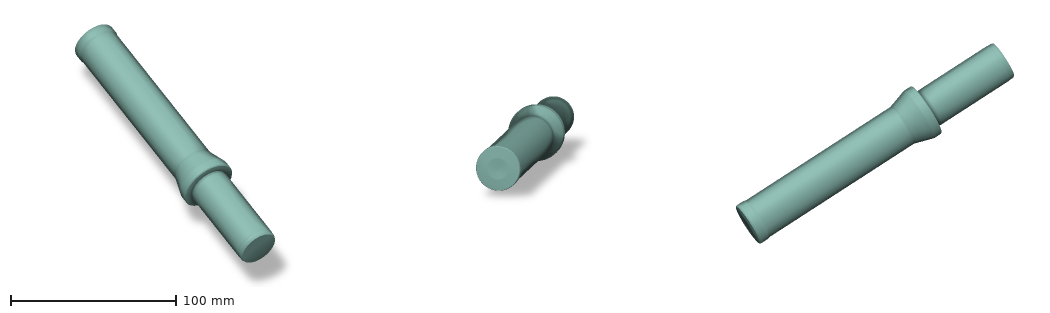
import cadquery as cq

TOTAL_LENGTH = 186.0
HEAD_TAPER_START = 6.0
HEAD_LENGTH = 7.5
FLARE_BLEND_START = 112.2
FLARE_START = 113.3
COLLAR_START = 124.6
COLLAR_END = 130.0
GROOVE_END = 130.8
SHANK_START = 131.9
SHANK_END = 182.1
TIP_START = 182.7

HEAD_DIAMETER = 27.3
BODY_DIAMETER = 26.5
COLLAR_DIAMETER = 34.0
SHANK_DIAMETER = 25.0
GROOVE_DIAMETER = 24.5
TIP_DIAMETER = 24.5

FACE_CONE_DROP = 0.4
HEAD_CHAMFER_LENGTH = 1.0
HEAD_CHAMFER_DEPTH = 0.4
FLARE_BLEND_RISE = 0.28
COLLAR_FRONT_FILLET = 1.7
COLLAR_REAR_CHAMFER = 0.5
TIP_CHAMFER_LENGTH = 1.3
TIP_CHAMFER_DEPTH = 0.5
DIMPLE_DIAMETER = BODY_DIAMETER / 2
DIMPLE_DEPTH = 0.5


def revolve_about_x(profile):
    """Turn a closed (x, radius) profile about the tool axis."""
    return profile.close().revolve(360, (0, 0, 0), (1, 0, 0))


def make_cutting_head():
    """Front disc with a chamfered rim, tapered back, gently coned face and shallow dimple."""
    head_radius = HEAD_DIAMETER / 2
    profile = (
        cq.Workplane("XY")
        .moveTo(DIMPLE_DEPTH, 0)
        .lineTo(0, DIMPLE_DIAMETER / 2)
        .lineTo(FACE_CONE_DROP, head_radius - HEAD_CHAMFER_DEPTH)
        .lineTo(FACE_CONE_DROP + HEAD_CHAMFER_LENGTH, head_radius)
        .lineTo(HEAD_TAPER_START, head_radius)
        .lineTo(HEAD_LENGTH, BODY_DIAMETER / 2)
        .lineTo(HEAD_LENGTH, 0)
    )
    return revolve_about_x(profile)


def make_holder():
    """Long neck, flared collar and stepped shank turned as one piece."""
    body_radius = BODY_DIAMETER / 2
    collar_radius = COLLAR_DIAMETER / 2
    shank_radius = SHANK_DIAMETER / 2
    tip_radius = TIP_DIAMETER / 2
    profile = (
        cq.Workplane("XY")
        .moveTo(HEAD_LENGTH, 0)
        .lineTo(HEAD_LENGTH, body_radius)
        .lineTo(FLARE_BLEND_START, body_radius)
        .tangentArcPoint((FLARE_START, body_radius + FLARE_BLEND_RISE), relative=False)
        .lineTo(COLLAR_START, collar_radius)
        .lineTo(COLLAR_END - COLLAR_REAR_CHAMFER, collar_radius)
        .lineTo(COLLAR_END, collar_radius - COLLAR_REAR_CHAMFER)
        .lineTo(COLLAR_END, GROOVE_DIAMETER / 2)
        .lineTo(GROOVE_END, GROOVE_DIAMETER / 2)
        .lineTo(SHANK_START, shank_radius)
        .lineTo(SHANK_END, shank_radius)
        .lineTo(TIP_START, tip_radius)
        .lineTo(TOTAL_LENGTH - TIP_CHAMFER_LENGTH, tip_radius)
        .lineTo(TOTAL_LENGTH, tip_radius - TIP_CHAMFER_DEPTH)
        .lineTo(TOTAL_LENGTH, 0)
    )
    holder = revolve_about_x(profile)
    collar_front_edge = cq.selectors.BoxSelector(
        (COLLAR_START - 0.2, -COLLAR_DIAMETER, -COLLAR_DIAMETER),
        (COLLAR_START + 0.2, COLLAR_DIAMETER, COLLAR_DIAMETER),
    )
    return holder.edges(collar_front_edge).fillet(COLLAR_FRONT_FILLET)


cutting_head = make_cutting_head()
holder = make_holder()

result = cq.Compound.makeCompound([cutting_head.val(), holder.val()])